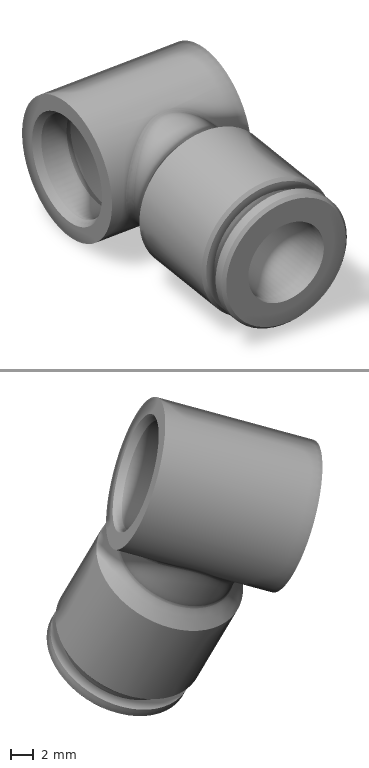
import cadquery as cq

total_length = 30.25
sleeve_diameter = 14.0
sleeve_length = 15.0
sleeve_axis_x = sleeve_diameter / 2

bore_diameter = 10.0
bore_mouth_diameter = 10.9
bore_taper_length = 0.7
recess_length = 8.17

neck_diameter = 11.0
body_diameter = sleeve_diameter
collar_diameter = 11.7
groove_diameter = 11.3
flange_diameter = 13.5
cone_start_x = 16.03
cone_end_x = 17.55
body_end_x = 27.53
collar_end_x = 28.68
flange_start_x = 29.05
edge_chamfer = 0.3
neck_fillet = 0.3
junction_fillet = 0.5

passage_diameter = 6.5
tube_diameter = 8.15
tube_stop_x = 13.4


def cylinder_x(diameter, start_x, end_x):
    """Cylinder along X between two positions."""
    return cq.Workplane("YZ", origin=(start_x, 0, 0)).circle(diameter / 2).extrude(end_x - start_x)


def cylinder_y(diameter, length):
    """Cylinder on the sleeve axis, centred on Y = 0."""
    return (
        cq.Workplane("XZ", origin=(sleeve_axis_x, 0, 0))
        .circle(diameter / 2)
        .extrude(length / 2, both=True)
    )


def make_port_body():
    """Neck, conical shoulder, body, collar and release flange as one turned shape."""
    profile = [
        (sleeve_axis_x, 0),
        (sleeve_axis_x, neck_diameter / 2),
        (cone_start_x, neck_diameter / 2),
        (cone_end_x, body_diameter / 2),
        (body_end_x - edge_chamfer, body_diameter / 2),
        (body_end_x, body_diameter / 2 - edge_chamfer),
        (body_end_x, collar_diameter / 2),
        (collar_end_x, collar_diameter / 2),
        (collar_end_x, groove_diameter / 2),
        (flange_start_x, groove_diameter / 2),
        (flange_start_x, flange_diameter / 2),
        (total_length - edge_chamfer, flange_diameter / 2),
        (total_length, flange_diameter / 2 - edge_chamfer),
        (total_length, 0),
    ]
    port = cq.Workplane("XY").polyline(profile).close().revolve(360, (0, 0, 0), (1, 0, 0))
    shoulder_edge = cq.selectors.BoxSelector(
        (cone_start_x - neck_fillet, -body_diameter, -body_diameter),
        (cone_start_x + neck_fillet, body_diameter, body_diameter),
    )
    return port.edges(shoulder_edge).fillet(neck_fillet)


def make_outside():
    """Sleeve and port joined, with the junction rounded."""
    outside = cylinder_y(sleeve_diameter, sleeve_length).union(make_port_body())
    junction = cq.selectors.BoxSelector(
        (sleeve_axis_x, -neck_diameter / 2, -neck_diameter / 2),
        (sleeve_diameter, neck_diameter / 2, neck_diameter / 2),
    )
    return outside.edges(junction).fillet(junction_fillet)


def make_sleeve_bore():
    """Through bore, widened conically at both mouths and around the port."""
    wide = bore_mouth_diameter / 2
    narrow = bore_diameter / 2
    end_y = sleeve_length / 2
    mouth_y = end_y - bore_taper_length
    recess_edge_y = recess_length / 2
    recess_floor_y = recess_edge_y - bore_taper_length
    half_outline = [
        (wide, end_y),
        (narrow, mouth_y),
        (narrow, recess_edge_y),
        (wide, recess_floor_y),
    ]
    upper = [(sleeve_axis_x + radius, y) for radius, y in half_outline]
    lower = [(x, -y) for x, y in reversed(upper)]
    outline = [(sleeve_axis_x, end_y)] + upper + lower + [(sleeve_axis_x, -end_y)]
    return (
        cq.Workplane("XY")
        .polyline(outline)
        .close()
        .revolve(360, (sleeve_axis_x, 0, 0), (sleeve_axis_x, 1, 0))
    )


result = make_outside().cut(make_sleeve_bore())
result = result.cut(cylinder_x(passage_diameter, sleeve_axis_x, tube_stop_x))
result = result.cut(cylinder_x(tube_diameter, tube_stop_x, total_length))